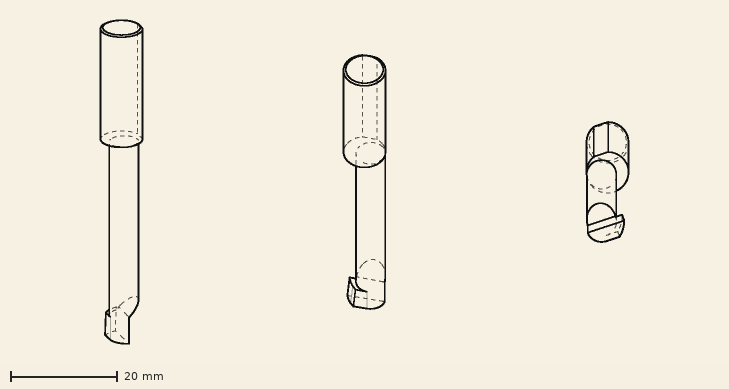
import cadquery as cq
import math

total_length = 63.5

shank_diameter = 7.94
shank_length = 22.86
shank_flat_y = 3.71
chamfer_width = 0.45
chamfer_height = 0.25
shank_radius = shank_diameter / 2
shank_bottom_z = total_length - shank_length

neck_diameter = 5.56
neck_radius = neck_diameter / 2
neck_center_x = shank_radius - neck_radius

rake_face_top_z = 5.65
runout_angle = 43.0

head_height = 5.1
tip_x = -3.35
flank_end_x = -2.26
flank_end_y = -1.98
heel_x = -1.48
flank_bulge = 0.1
side_relief_angle = 5.0

end_cutting_angle = 2.0
end_relief_angle = 5.0

clearance = 5.0


def rise(run, angle):
    """Height gained over a run at an angle in degrees."""
    return run * math.tan(math.radians(angle))


def make_shank():
    shank = (
        cq.Workplane("XY", origin=(0, 0, shank_bottom_z))
        .circle(shank_radius)
        .extrude(shank_length)
        .faces(">Z")
        .edges()
        .chamfer(chamfer_height, chamfer_width)
    )
    flat_waste = (
        cq.Workplane("XZ", origin=(0, shank_flat_y, shank_bottom_z + shank_length / 2))
        .rect(2 * shank_diameter, 2 * shank_length)
        .extrude(-clearance)
    )
    return shank.cut(flat_waste)


def make_neck():
    neck = cq.Workplane("XY").center(neck_center_x, 0).circle(neck_radius).extrude(shank_bottom_z)
    reach_y = neck_radius + clearance
    runout_z = rake_face_top_z + rise(reach_y, runout_angle)
    relief = (
        cq.Workplane("YZ")
        .moveTo(0, -clearance)
        .lineTo(reach_y, -clearance)
        .lineTo(reach_y, runout_z)
        .lineTo(0, rake_face_top_z)
        .close()
        .extrude(shank_diameter, both=True)
    )
    return neck.cut(relief)


def head_section(z):
    """Closed head outline at height z: curved flank, straight heel, flat tangent to the neck."""
    shift = rise(z, side_relief_angle)
    tip = (tip_x + shift, 0)
    flank_end = (flank_end_x + shift, flank_end_y)
    chord_x = flank_end[0] - tip[0]
    chord_y = flank_end[1] - tip[1]
    chord = math.hypot(chord_x, chord_y)
    flank_middle = (
        (tip[0] + flank_end[0]) / 2 + flank_bulge * chord_y / chord,
        (tip[1] + flank_end[1]) / 2 - flank_bulge * chord_x / chord,
    )
    outline = (
        cq.Workplane("XY", origin=(0, 0, z))
        .moveTo(*tip)
        .threePointArc(flank_middle, flank_end)
        .lineTo(heel_x + shift, -neck_radius)
        .lineTo(neck_center_x, -neck_radius)
        .lineTo(neck_center_x, 0)
        .close()
    )
    return outline.val()


def make_head():
    return cq.Workplane(cq.Solid.makeLoft([head_section(0), head_section(head_height)], True))


def make_end_waste():
    """Body below the end face, whose plane passes through the cutting corner."""
    end_normal = (rise(1, end_cutting_angle), -rise(1, end_relief_angle), -1)
    end_plane = cq.Plane(origin=(tip_x, 0, 0), xDir=(0, 1, -rise(1, end_relief_angle)), normal=end_normal)
    return cq.Workplane(end_plane).rect(4 * shank_diameter, 4 * shank_diameter).extrude(clearance)


result = make_shank().union(make_neck()).union(make_head()).cut(make_end_waste())